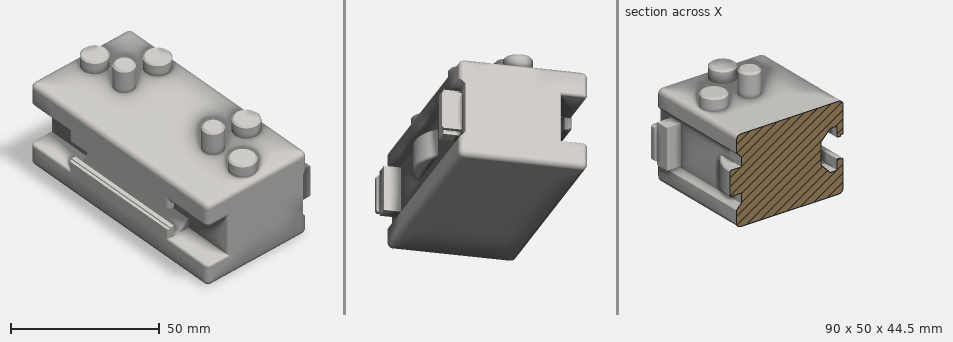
import cadquery as cq

body_length = 90.0
body_depth = 45.0
body_height = 35.0
body_fillet = 2.0
front_y = -body_depth / 2
back_y = body_depth / 2
middle_z = body_height / 2

channel_depth = 9.3
channel_height = 16.6
slot_inset = 0.1
channel_floor_y = front_y + channel_depth
corner_bevel = 3.75
lip_length = 50.0
lip_thickness = 2.7
lip_gap = 8.0
lip_step_gap = 9.0
lip_step_depth = 1.1
rim_fillet = 1.0
select_margin = 0.01

recess_depth = 2.0
recess_floor_height = 17.5
recess_floor_y = back_y - recess_depth

tab_inner_x = 33.5
tab_step_x = 39.0
tab_outer_x = 41.0
tab_block_height = 16.0
tab_block_reach = 4.0
tab_plate_height = 13.2
tab_plate_reach = 5.0
tab_plate_chamfer = 0.5

wheel_radius = 16.5
wheel_reach = 2.8
wheel_thickness = 10.0
wheel_chamfer = 0.5

button_radius = 5.0
button_height = 5.0
button_chamfer = 0.6
pin_radius = 4.0
pin_height = 9.5
pin_chamfer = 0.75
inner_x = 22.5
outer_x = 37.5
rear_row_y = 15.0
middle_row_y = 0.0


def box_between(x_range, y_range, half_height):
    """Box between two X and two Y values, centred on the middle height."""
    (x0, x1), (y0, y1) = x_range, y_range
    return (
        cq.Workplane("XY", origin=((x0 + x1) / 2, (y0 + y1) / 2, middle_z))
        .box(abs(x1 - x0), abs(y1 - y0), 2 * half_height)
    )


def bar_along_x(yz_points, length):
    """Prism of a YZ outline, centred on X = 0."""
    return cq.Workplane("YZ").polyline(yz_points).close().extrude(length / 2, both=True)


def make_body():
    return (
        cq.Workplane("XY")
        .box(body_length, body_depth, body_height, centered=(True, True, False))
        .edges()
        .fillet(body_fillet)
    )


def cut_channel_ends(body):
    """Open the channel at both ends and round the rims where it meets the outer faces."""
    half = channel_height / 2
    for side in (-1, 1):
        x_range = (side * lip_length / 2, side * body_length / 2)
        body = body.cut(box_between(x_range, (front_y, channel_floor_y), half))
    z_low = middle_z - half - select_margin
    z_high = middle_z + half + select_margin
    half_length = body_length / 2
    front_rims = cq.selectors.BoxSelector(
        (-half_length, front_y - select_margin, z_low),
        (half_length, front_y + body_fillet, z_high),
    )
    side_rims = [
        cq.selectors.BoxSelector(
            (side * (half_length - body_fillet), front_y, z_low),
            (side * (half_length + select_margin), channel_floor_y + select_margin, z_high),
        )
        for side in (-1, 1)
    ]
    rims = front_rims + side_rims[0] + side_rims[1]
    return body.edges(rims).fillet(rim_fillet)


def cut_slot(body):
    """Hollow out the channel behind the lips and open the gap between them."""
    half = channel_height / 2 - slot_inset
    floor_y = channel_floor_y - slot_inset
    lip_back_y = front_y + lip_thickness
    bevel_start_y = floor_y - corner_bevel
    floor_half = half - corner_bevel
    cavity = bar_along_x(
        [
            (lip_back_y, middle_z - half),
            (bevel_start_y, middle_z - half),
            (floor_y, middle_z - floor_half),
            (floor_y, middle_z + floor_half),
            (bevel_start_y, middle_z + half),
            (lip_back_y, middle_z + half),
        ],
        lip_length,
    )
    lip_range = (-lip_length / 2, lip_length / 2)
    gap = box_between(lip_range, (front_y, lip_back_y), lip_gap / 2)
    step = box_between(lip_range, (front_y, front_y + lip_step_depth), lip_step_gap / 2)
    return body.cut(cavity).cut(gap).cut(step)


def cut_recess(body):
    floor_half = recess_floor_height / 2
    rim_half = floor_half + recess_depth
    recess = bar_along_x(
        [
            (recess_floor_y, middle_z - floor_half),
            (back_y, middle_z - rim_half),
            (back_y, middle_z + rim_half),
            (recess_floor_y, middle_z + floor_half),
        ],
        body_length,
    )
    return body.cut(recess)


def make_tab(side):
    block = box_between(
        (side * tab_inner_x, side * tab_step_x),
        (recess_floor_y, back_y + tab_block_reach),
        tab_block_height / 2,
    )
    plate = box_between(
        (side * tab_step_x, side * tab_outer_x),
        (recess_floor_y, back_y + tab_plate_reach),
        tab_plate_height / 2,
    )
    plate = plate.faces(">Y").edges("|X").chamfer(tab_plate_chamfer)
    return block.union(plate)


def make_wheel():
    wheel_y = back_y + wheel_reach - wheel_radius
    return (
        cq.Workplane("XY", origin=(0, wheel_y, middle_z - wheel_thickness / 2))
        .circle(wheel_radius)
        .extrude(wheel_thickness)
        .edges()
        .chamfer(wheel_chamfer)
    )


def make_stud(x, y, radius, height, chamfer):
    return (
        cq.Workplane("XY", origin=(x, y, body_height))
        .circle(radius)
        .extrude(height)
        .faces(">Z")
        .chamfer(chamfer)
    )


result = cut_recess(cut_slot(cut_channel_ends(make_body()))).union(make_wheel())
for side in (-1, 1):
    result = result.union(make_tab(side))
    for x, y in ((inner_x, rear_row_y), (outer_x, middle_row_y)):
        result = result.union(make_stud(side * x, y, button_radius, button_height, button_chamfer))
    result = result.union(make_stud(side * inner_x, middle_row_y, pin_radius, pin_height, pin_chamfer))